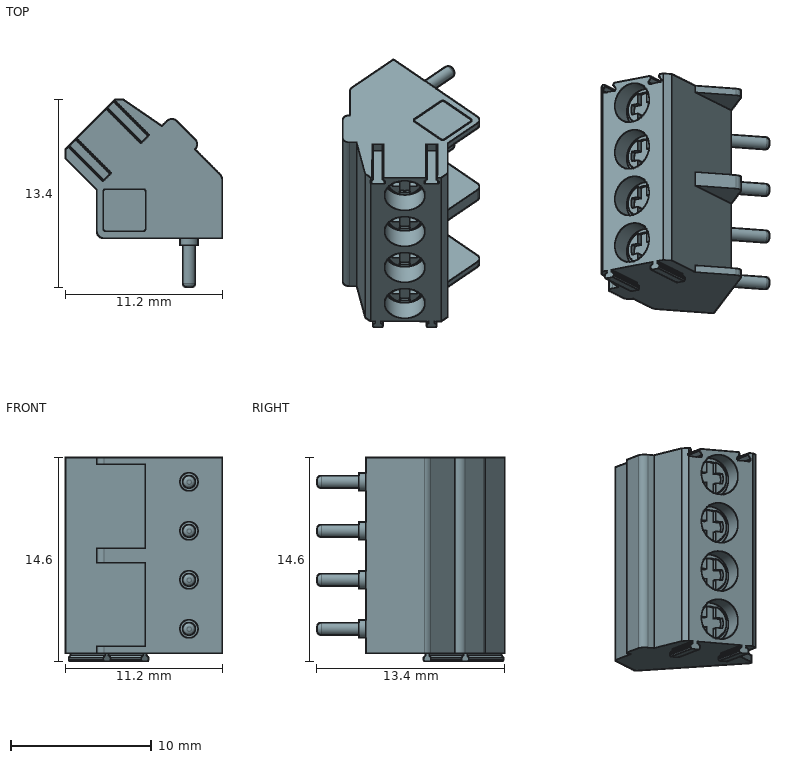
import cadquery as cq
import math

pole_count = 4
pitch = 3.5
body_height = 14.0
base_width = 8.98
front_notch = 3.47
overhang = 2.23
lower_end_flat = 0.65
entry_face_length = 5.04
upper_end_flat = 0.55
edge_radius = 0.5
right_corner_radius = 0.61

back_along = 6.54
bump_step = 0.51
bump_start_depth = 3.69
bump_end_depth = 6.54
bump_foot_along = 6.05

rib_thickness = 0.51

entry_along = 2.61

hole_radius = 1.44
hole_depth = 1.62
head_radius = 1.2
head_height = 0.22
slot_width = 0.73
slot_depth = 0.42
cross_radius = 0.93

key_spacing = 3.83
key_length = 3.5
rail_height = 0.57
groove_depth = 0.61
rail_profile = [(0.19, 0), (0.19, 0.13), (0.38, 0.3), (0.38, 0.44), (0.3, rail_height)]
groove_profile = [(0.42, 0), (0.32, 0.16), (0.54, 0.44), (0.54, 0.51), (0.45, groove_depth)]

pin_x = 6.59
collar_diameter = 1.3
collar_length = 0.51
pin_diameter = 0.9
pin_reach = 3.5
pin_tip_radius = 0.29

label_size = 3.02
label_center = (1.98, 2.01)
label_radius = 0.17
label_depth = 0.07

tilt = math.sqrt(0.5)
face_start = (-overhang, front_notch + overhang + lower_end_flat)


def tilted(depth, along):
    """Point at a depth behind the entry face and a distance along it from its lower end."""
    return (face_start[0] + (depth + along) * tilt, face_start[1] + (along - depth) * tilt)


entry_plane = cq.Plane(origin=(*face_start, 0), xDir=(1, 1, 0), normal=(1, -1, 0))
pole_heights = [(i + 0.5) * pitch + (body_height - pole_count * pitch) / 2 for i in range(pole_count)]


def round_edges(solid, corners, radius):
    """Fillet the upright edges that stand on the given corners."""
    for x, y in corners:
        edge = cq.selectors.NearestToPointSelector((x, y, body_height / 2))
        solid = solid.edges("|Z").edges(edge).fillet(radius)
    return solid


def make_body():
    face_end = tilted(0, entry_face_length)
    back_sum = sum(tilted(0, back_along))
    right_corner = (base_width, back_sum - base_width)
    bump_top = back_along + bump_step
    bump_corners = [tilted(bump_start_depth, bump_top), tilted(bump_end_depth, bump_top)]
    body = (
        cq.Workplane("XY")
        .polyline([
            (0, 0),
            (0, front_notch),
            (-overhang, front_notch + overhang),
            face_start,
            face_end,
            (face_end[0] + upper_end_flat, face_end[1]),
            tilted(bump_start_depth, bump_foot_along),
            *bump_corners,
            tilted(bump_end_depth, back_along),
            right_corner,
            (base_width, 0),
        ])
        .close()
        .extrude(body_height)
    )

    body = round_edges(body, [(0, 0), *bump_corners], edge_radius)
    return round_edges(body, [right_corner], right_corner_radius)


def make_notches():
    """Triangular openings that leave a rib at the top, the middle and the bottom."""
    opening = body_height / 2 - 2 * rib_thickness
    triangle = (
        cq.Workplane("XY")
        .polyline([(0, 0), (front_notch, 0), (0, front_notch)])
        .close()
        .extrude(opening)
    )
    lower = triangle.translate((0, 0, rib_thickness))
    upper = triangle.translate((0, 0, body_height / 2 + rib_thickness))
    return lower.union(upper)


def make_entry_hole(z):
    """Round hole whose floor carries a screw head with a cross recess."""
    center = (entry_along, z)
    head_top = hole_depth - head_height
    hole = cq.Workplane(entry_plane).center(*center).circle(hole_radius).extrude(hole_depth)
    head_plane = cq.Workplane(entry_plane).workplane(offset=head_top).center(*center)
    head = head_plane.circle(head_radius).extrude(head_height)
    long_slot = head_plane.rect(slot_width, 2 * head_radius).extrude(slot_depth)
    long_slot = long_slot.intersect(head_plane.circle(head_radius).extrude(slot_depth))
    short_slot = head_plane.rect(2 * head_radius, slot_width).extrude(slot_depth)
    short_slot = short_slot.intersect(head_plane.circle(cross_radius).extrude(slot_depth))
    return hole.cut(head).union(long_slot).union(short_slot)


def make_key(along, z, half_profile):
    """Bar running inward from the entry face, its half profile hanging down from z."""
    right = [(along + half, z - drop) for half, drop in half_profile]
    left = [(along - half, z - drop) for half, drop in reversed(half_profile)]
    return cq.Workplane(entry_plane).polyline(right + left).close().extrude(key_length)


def make_pin(z):
    plane = cq.Workplane("XZ").center(pin_x, z)
    collar = plane.circle(collar_diameter / 2).extrude(collar_length)
    pin = plane.circle(pin_diameter / 2).extrude(pin_reach).faces("<Y").edges().fillet(pin_tip_radius)
    return collar.union(pin)


def make_label():
    return (
        cq.Workplane("XY")
        .workplane(offset=body_height - label_depth)
        .center(*label_center)
        .rect(label_size, label_size)
        .extrude(label_depth)
        .edges("|Z")
        .fillet(label_radius)
    )


result = make_body().cut(make_notches())

for side in (-1, 1):
    key_along = entry_along + side * key_spacing / 2
    result = result.union(make_key(key_along, 0, rail_profile))
    result = result.cut(make_key(key_along, body_height, groove_profile))

for pole_z in pole_heights:
    result = result.cut(make_entry_hole(pole_z))
    result = result.union(make_pin(pole_z))

result = result.cut(make_label())